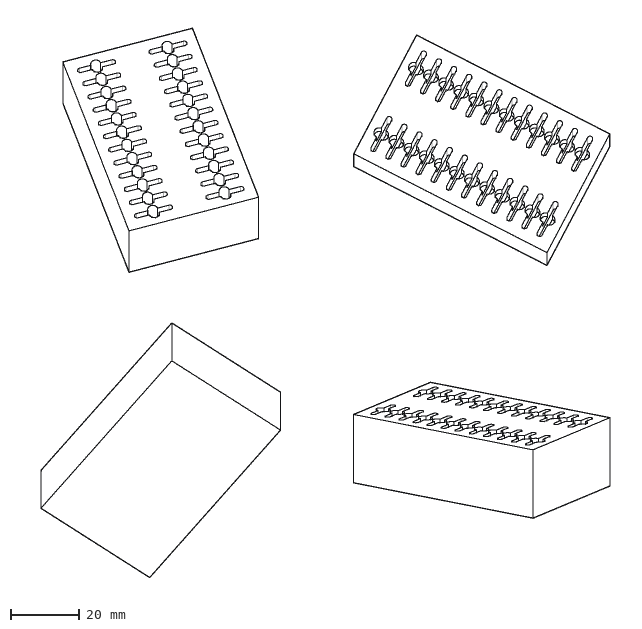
import cadquery as cq

block_length = 64.0
block_width = 40.0
block_height = 21.0

pockets_per_row = 12
end_margin = 4.5
pocket_pitch = (block_length - 2 * end_margin) / (pockets_per_row - 1)
row_spacing = 22.0

slot_length = 11.6
slot_width = 1.6
slot_depth = 12.0
recess_length = 4.5
recess_width = 3.0
recess_depth = 6.0


def at_pocket_centres(workplane):
    """Put one point at the centre of every pocket."""
    return workplane.rarray(pocket_pitch, row_spacing, pockets_per_row, 2)


def make_block():
    return cq.Workplane("XY").box(block_length, block_width, block_height)


def cut_slots(body):
    """Round-ended slots, long side along Y."""
    top = at_pocket_centres(body.faces(">Z").workplane())
    return top.slot2D(slot_length, slot_width, angle=90).cutBlind(-slot_depth)


def cut_finger_recesses(body):
    """Round-ended recesses, long side along X."""
    top = at_pocket_centres(body.faces(">Z").workplane())
    return top.slot2D(recess_length, recess_width).cutBlind(-recess_depth)


result = cut_finger_recesses(cut_slots(make_block()))